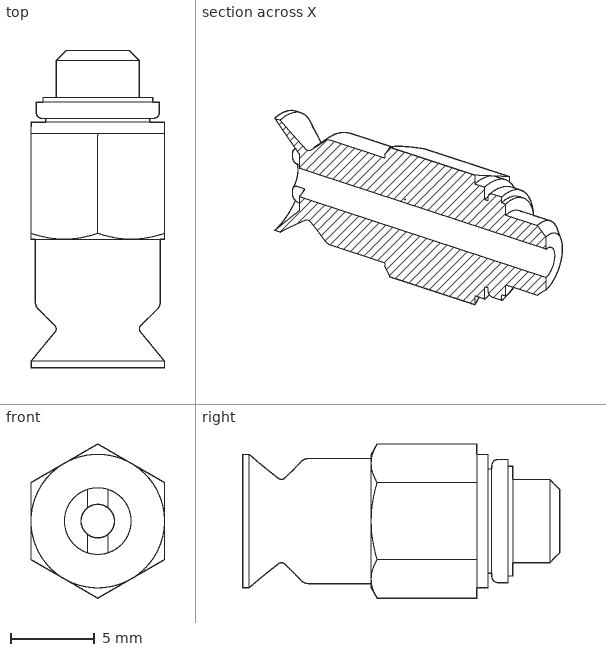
import cadquery as cq
import math


bore_diameter = 2.0
boss_diameter = 3.99
neck_diameter = 5.0
stud_diameter = 5.0
groove_diameter = 6.25
seat_diameter = 6.6
seal_diameter = 7.4
barrel_diameter = 7.5
cup_diameter = 8.0
hex_width = cup_diameter

lip_end = 0.4
cone_end = 2.13
barrel_start = 3.95
hex_start = 7.7
hex_end = 14.02
collar_end = 14.7
seal_start = 14.92
seal_end = 15.9
seat_end = 16.19
stud_end = 19.0

shoulder_radius = 0.63
neck_radius = 0.28
seal_radius = 0.38
stud_chamfer = 0.6
hex_chamfer_angle = 30.0

cup_depth = 1.73
boss_face = 0.87
boss_outer_radius = 0.42
boss_inner_radius = 0.35
slot_width = 1.22


def ring(diameter, start, end):
    """Solid disc about the Y axis between two stations."""
    disc = cq.Workplane("XZ").circle(diameter / 2).extrude(start - end)
    return disc.translate((0, start, 0))


def make_cup_and_barrel():
    """Cup, necked waist and rounded barrel as one turned profile."""
    cup_r = cup_diameter / 2
    neck_r = neck_diameter / 2
    barrel_r = barrel_diameter / 2
    neck_center_r = neck_r + neck_radius
    diagonal = math.sqrt(0.5)

    waist_center_y = cone_end + neck_radius * diagonal
    waist_end_r = neck_center_r - neck_radius * diagonal
    waist_start = (waist_end_r, cone_end)
    waist_end = (waist_end_r, waist_center_y + neck_radius * diagonal)

    shoulder_center_r = barrel_r - shoulder_radius
    shoulder_start = (
        shoulder_center_r + shoulder_radius * diagonal,
        barrel_start - shoulder_radius * diagonal,
    )
    middle = math.radians(45 / 2)
    shoulder_middle = (
        shoulder_center_r + shoulder_radius * math.cos(middle),
        barrel_start - shoulder_radius * math.sin(middle),
    )

    profile = (
        cq.Workplane("XY")
        .moveTo(0, 0)
        .lineTo(cup_r, 0)
        .lineTo(cup_r, lip_end)
        .lineTo(*waist_start)
        .threePointArc((neck_r, waist_center_y), waist_end)
        .lineTo(*shoulder_start)
        .threePointArc(shoulder_middle, (barrel_r, barrel_start))
        .lineTo(barrel_r, hex_start)
        .lineTo(0, hex_start)
        .close()
    )
    return profile.revolve(360, (0, 0, 0), (0, 1, 0))


def make_hexagon():
    """Hexagon with corners on the Z axis, its front corners turned to a cone."""
    corner_radius = hex_width / math.sqrt(3)
    chamfer_length = (corner_radius - hex_width / 2) * math.tan(math.radians(hex_chamfer_angle))
    corner_angles = [math.radians(60 * i) for i in range(6)]
    corners = [(corner_radius * math.sin(a), corner_radius * math.cos(a)) for a in corner_angles]
    prism = cq.Workplane("XZ").polyline(corners).close().extrude(hex_start - hex_end)
    prism = prism.translate((0, hex_start, 0))
    envelope = (
        cq.Workplane("XY")
        .moveTo(0, hex_start)
        .lineTo(hex_width / 2, hex_start)
        .lineTo(corner_radius, hex_start + chamfer_length)
        .lineTo(corner_radius, hex_end)
        .lineTo(0, hex_end)
        .close()
        .revolve(360, (0, 0, 0), (0, 1, 0))
    )
    return prism.intersect(envelope)


def make_stud_end():
    """Collar, groove, sealing ring, seat and chamfered stud behind the hexagon."""
    collar = ring(cup_diameter, hex_end, collar_end)
    groove = ring(groove_diameter, collar_end, seal_start)
    seal = ring(seal_diameter, seal_start, seal_end).faces("<Y").edges().fillet(seal_radius)
    seat = ring(seat_diameter, seal_end, seat_end)
    stud = ring(stud_diameter, seat_end, stud_end).faces(">Y").edges().chamfer(stud_chamfer)
    return collar.union(groove).union(seal).union(seat).union(stud)


def make_cup_hollow():
    """Conical hollow of the cup."""
    return (
        cq.Workplane("XY")
        .lineTo(cup_diameter / 2, 0)
        .lineTo(boss_diameter / 2, cup_depth)
        .lineTo(0, cup_depth)
        .close()
        .revolve(360, (0, 0, 0), (0, 1, 0))
    )


def make_slotted_boss():
    """Rounded ring at the bottom of the cup, cut across by a vertical slot."""
    boss = ring(boss_diameter, boss_face, cup_depth).cut(ring(bore_diameter, boss_face, cup_depth))
    boss = boss.faces("<Y").edges(cq.selectors.RadiusNthSelector(1)).fillet(boss_outer_radius)
    boss = boss.faces("<Y").edges(cq.selectors.RadiusNthSelector(0)).fillet(boss_inner_radius)
    slot = cq.Workplane("XY").box(slot_width, 2 * cup_depth, cup_diameter)
    return boss.cut(slot)


result = (
    make_cup_and_barrel()
    .union(make_hexagon())
    .union(make_stud_end())
    .cut(make_cup_hollow())
    .union(make_slotted_boss())
    .cut(ring(bore_diameter, 0, stud_end))
)